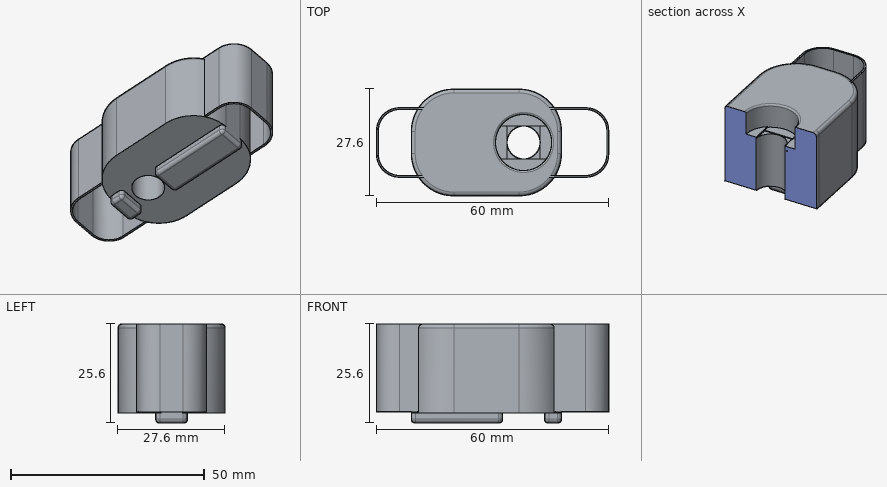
import cadquery as cq

total_height = 25.6

body_length = 38.8
body_width = 27.6
body_height = 23.0
body_corner_radius = 11.0
body_center_x = -1.6
body_top_fillet = 1.0

loop_span = 60.0
loop_width = 18.0
loop_corner_radius = 6.0
loop_wall = 0.5
loop_bottom_gap = 0.3

bore_center_x = 8.0
bore_diameter = 14.5
bore_depth = 6.7
bore_rim_fillet = 0.5
hole_diameter = 8.5
step_depth = 0.2

key_width = 8.2
key_height = total_height - body_height
key_gap = 10.8
key_edge_radius = 1.1
key_bottom_radius = 1.0

body_left = body_center_x - body_length / 2
body_right = body_center_x + body_length / 2


def rounded_block(length, width, height, radius):
    """Upright block centred on the origin in X and Y, standing on z = 0."""
    block = cq.Workplane("XY").box(length, width, height, centered=(True, True, False))
    return block.edges("|Z").fillet(radius)


def make_body():
    block = rounded_block(body_length, body_width, body_height, body_corner_radius)
    return block.faces(">Z").edges().fillet(body_top_fillet).translate((body_center_x, 0, 0))


def make_loop_band():
    """One closed band forming both loops; its middle stretch is buried in the body."""
    height = body_height - loop_bottom_gap
    outer = rounded_block(loop_span, loop_width, height, loop_corner_radius)
    inner = rounded_block(
        loop_span - 2 * loop_wall,
        loop_width - 2 * loop_wall,
        height,
        loop_corner_radius - loop_wall,
    )
    return outer.cut(inner).translate((0, 0, loop_bottom_gap))


def make_key_piece(x_start, x_end):
    """Piece of the key between two X positions, rounded on its sides and underside."""
    piece = rounded_block(x_end - x_start, key_width, key_height, key_edge_radius)
    piece = piece.faces("<Z").edges().fillet(key_bottom_radius)
    return piece.translate(((x_start + x_end) / 2, 0, -key_height))


def cut_stepped_hole(part):
    """Bore, then a slot, then a square, each one step deeper, then the round hole."""
    bore_floor = body_height - bore_depth
    center = cq.Workplane("XY").center(bore_center_x, 0)
    bore = center.circle(bore_diameter / 2).extrude(bore_depth).translate((0, 0, bore_floor))
    slot = (
        center.circle(bore_diameter / 2)
        .extrude(step_depth)
        .intersect(center.rect(bore_diameter, hole_diameter).extrude(step_depth))
        .translate((0, 0, bore_floor - step_depth))
    )
    square = (
        center.rect(hole_diameter, hole_diameter)
        .extrude(step_depth)
        .translate((0, 0, bore_floor - 2 * step_depth))
    )
    hole = center.circle(hole_diameter / 2).extrude(body_height)
    rim_center = cq.selectors.NearestToPointSelector((bore_center_x, 0, body_height))
    part = part.cut(bore).faces(">Z").edges("%CIRCLE").edges(rim_center).fillet(bore_rim_fillet)
    return part.cut(slot).cut(square).cut(hole)


body = cut_stepped_hole(make_body())
band = make_loop_band()
left_key = make_key_piece(body_left, bore_center_x - key_gap / 2)
right_key = make_key_piece(bore_center_x + key_gap / 2, body_right)
result = body.union(band).union(left_key).union(right_key)